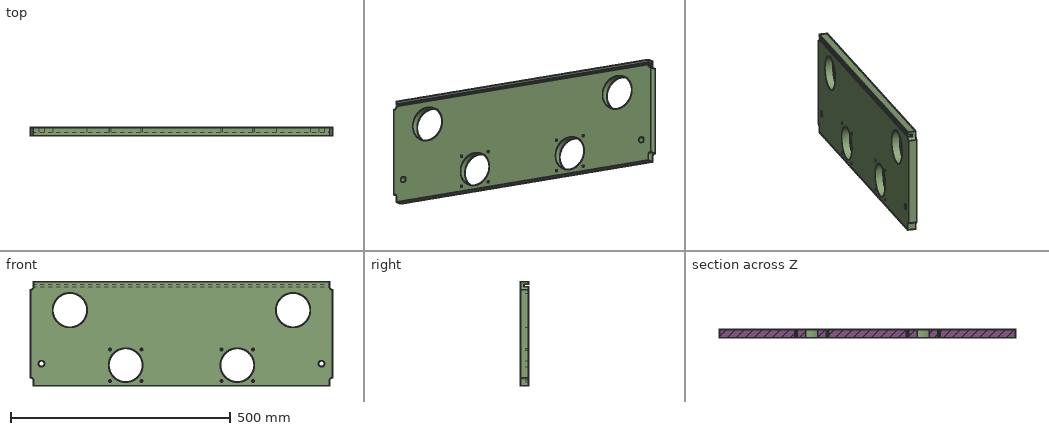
import cadquery as cq
import math

LENGTH = 689.0
THICKNESS = 19.0
HEIGHT = 238.0

NOTCH_WIDTH = 7.0
NOTCH_HEIGHT = 18.5
NOTCH_RADIUS = 6.0

GROOVE_TOP_LIP = 6.0
GROOVE_HEIGHT = 5.5
GROOVE_DEPTH = 10.0

UPPER_HOLE_DIAMETER = 78.0
UPPER_HOLE_X = 254.0
UPPER_HOLE_Z = 54.0
LOWER_HOLE_DIAMETER = 76.5
LOWER_HOLE_X = UPPER_HOLE_X / 2
LOWER_HOLE_Z = -71.5
SCREW_HOLE_DIAMETER = 4.0
SCREW_HOLE_SPACING = 71.5
END_HOLE_DIAMETER = 13.0
END_HOLE_X = 319.0
END_HOLE_Z = -68.0


def corner_notch(side, end):
    """Cutter for one corner; side is the sign of X and end the sign of Z."""
    outer_x = side * LENGTH / 2
    inner_x = side * (LENGTH / 2 - NOTCH_WIDTH)
    edge_z = end * HEIGHT / 2
    ledge_z = end * (HEIGHT / 2 - NOTCH_HEIGHT)
    arc_centre_x = inner_x + side * NOTCH_RADIUS
    arc_centre_z = ledge_z + end * NOTCH_RADIUS
    arc_offset = NOTCH_RADIUS * math.sqrt(0.5)
    arc_middle = (arc_centre_x - side * arc_offset, arc_centre_z - end * arc_offset)
    return (
        cq.Workplane("XZ")
        .moveTo(outer_x, edge_z)
        .lineTo(inner_x, edge_z)
        .lineTo(inner_x, arc_centre_z)
        .threePointArc(arc_middle, (arc_centre_x, ledge_z))
        .lineTo(outer_x, ledge_z)
        .close()
        .extrude(THICKNESS / 2, both=True)
    )


def through_holes(centres, diameter):
    """Cylinders along Y through the full thickness."""
    return (
        cq.Workplane("XZ")
        .pushPoints(centres)
        .circle(diameter / 2)
        .extrude(THICKNESS / 2, both=True)
    )


def mirrored_pair(x, z):
    return [(-x, z), (x, z)]


panel = cq.Workplane("XY").box(LENGTH, THICKNESS, HEIGHT)

for side in (-1, 1):
    for end in (-1, 1):
        panel = panel.cut(corner_notch(side, end))

groove_y = (THICKNESS - GROOVE_DEPTH) / 2
groove_z = HEIGHT / 2 - GROOVE_TOP_LIP - GROOVE_HEIGHT / 2
groove = cq.Workplane("XY").box(LENGTH, GROOVE_DEPTH, GROOVE_HEIGHT)
panel = panel.cut(groove.translate((0, groove_y, groove_z)))

lower_centres = mirrored_pair(LOWER_HOLE_X, LOWER_HOLE_Z)
screw_offset = SCREW_HOLE_SPACING / 2
screw_centres = [
    (x + dx, z + dz)
    for x, z in lower_centres
    for dx in (-screw_offset, screw_offset)
    for dz in (-screw_offset, screw_offset)
]

panel = panel.cut(through_holes(mirrored_pair(UPPER_HOLE_X, UPPER_HOLE_Z), UPPER_HOLE_DIAMETER))
panel = panel.cut(through_holes(lower_centres, LOWER_HOLE_DIAMETER))
panel = panel.cut(through_holes(screw_centres, SCREW_HOLE_DIAMETER))
panel = panel.cut(through_holes(mirrored_pair(END_HOLE_X, END_HOLE_Z), END_HOLE_DIAMETER))

result = panel